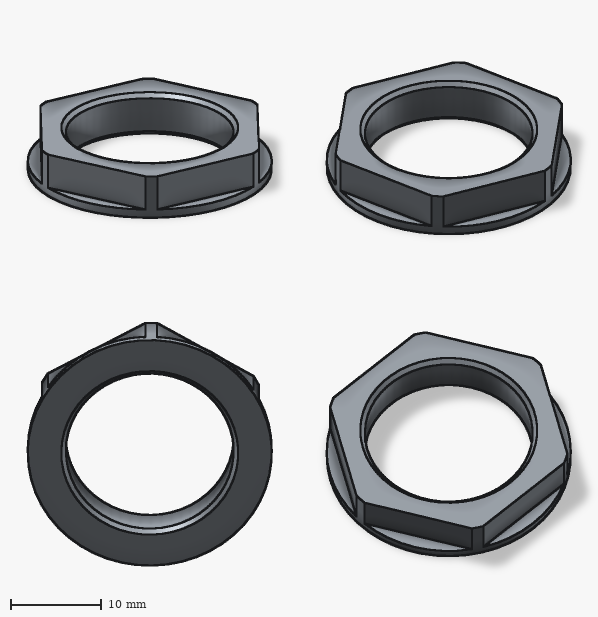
import cadquery as cq
import math

flange_diameter = 27.0
flange_thickness = 1.0
total_height = 5.0
across_flats = 24.0
bore_diameter = 18.55
bore_chamfer = 0.5

across_corners = across_flats / math.cos(math.pi / 6)


def hexagon_body():
    """Hexagon with flats facing +X and -X, its corners rounded to the flange diameter."""
    hexagon = (
        cq.Workplane("XY")
        .polygon(6, across_corners)
        .extrude(total_height)
        .rotate((0, 0, 0), (0, 0, 1), 30)
    )
    corner_limit = cq.Workplane("XY").circle(flange_diameter / 2).extrude(total_height)
    return hexagon.intersect(corner_limit)


def flange():
    return cq.Workplane("XY").circle(flange_diameter / 2).extrude(flange_thickness)


def chamfered_bore():
    """Through bore, widened by a 45 degree chamfer at both ends."""
    bore_radius = bore_diameter / 2
    mouth_radius = bore_radius + bore_chamfer
    return (
        cq.Workplane("XZ")
        .moveTo(0, 0)
        .lineTo(mouth_radius, 0)
        .lineTo(bore_radius, bore_chamfer)
        .lineTo(bore_radius, total_height - bore_chamfer)
        .lineTo(mouth_radius, total_height)
        .lineTo(0, total_height)
        .close()
        .revolve(360, (0, 0, 0), (0, 1, 0))
    )


result = hexagon_body().union(flange()).cut(chamfered_bore())